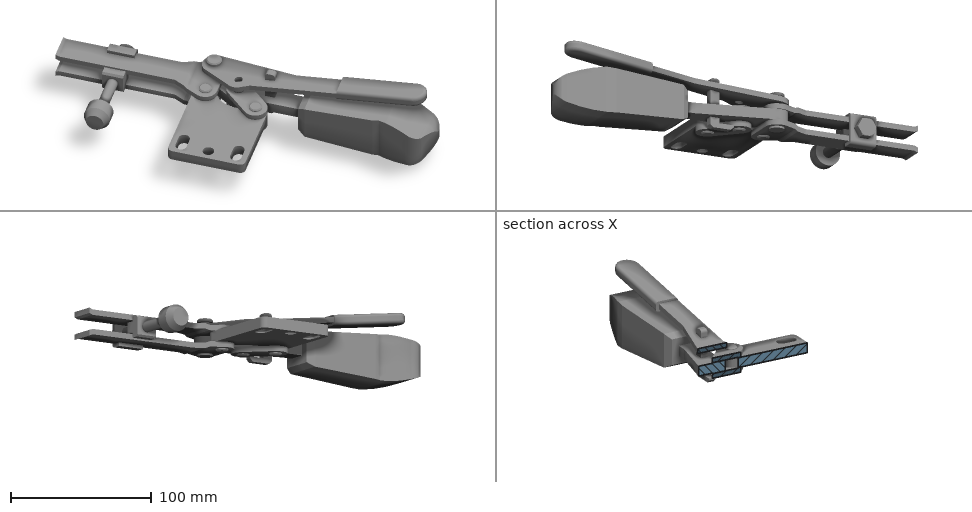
import cadquery as cq
import math


PLATE = 8.0
SHEET = 4.0
BOSS_RADIUS = 8.7
PIVOT_DIAMETER = 8.0
RIVET_HEAD_DIAMETER = 9.3
RIVET_HEAD_HEIGHT = 1.5
RIVET_HEAD_CHAMFER = 0.8
TALL = 169.3

INNER_Z = PLATE / 2
OUTER_Z = INNER_Z + SHEET

BASE_LEFT = -38.0
BASE_RIGHT = 19.2
BASE_CORNER_RADIUS = 4.0
NOTCH_RADIUS = 15.2
SLOT_WIDTH = 8.2
SLOT_LENGTH = 15.8
SLOT_SPACING = 40.5
HOLE_EDGE = 3.5

ARM_PIVOT = (BASE_LEFT + BOSS_RADIUS, 66.0)
LINK_PIVOT = (BASE_RIGHT - BOSS_RADIUS, 57.3)
HANDLE_PIVOT = (ARM_PIVOT[0], 88.0)
ELBOW_PIVOT = (-6.8, 73.0)

ARM_TIP_X = -141.0
ARM_LOWER_Y = 67.7
ARM_UPPER_Y = 87.2
ARM_FLARE_X = -52.5
ARM_BEND_START_X = -45.0
ARM_BEND_END_X = -42.0
ARM_SPREAD = 1.0
LIP_LENGTH = 2.5
LIP_RISE = 1.0

BAR_LOWER_Y = 68.5
BAR_UPPER_Y = 82.5
BAR_BOSS_RADIUS = 8.0
BAR_END_X = 90.3
TAPER_END_X = 33.0
HEEL_X = 3.0
HOOK_LEFT_X = 12.0
HOOK_RIGHT_X = 19.5
HOOK_FOOT_X = 0.8
HOOK_LOWER_Y = 75.3
HOOK_UPPER_Y = 80.5
HOOK_TOP_Z = 25.0
HOOK_BOTTOM_Z = -11.5
HOOK_CORNER = 2.3
GRIP_START_X = 40.5
GRIP_END_X = 141.0

LEVER_TILT = 7.9
LEVER_GAP = 0.3
LEVER_LOWER_Y = 67.7
LEVER_UPPER_Y = 83.2
LEVER_HOLE_DIAMETER = 6.0
PIN_HEAD_DIAMETER = 11.3
PIN_TOP_Z = 17.5
PIN_TOP_HEAD_HEIGHT = 2.5
SLEEVE_START_X = 67.5
SLEEVE_END_X = 131.8
SLEEVE_LOWER_Y = 67.5
SLEEVE_UPPER_Y = 85.8
SLEEVE_THICKNESS = 7.5
SLEEVE_EDGE_RADIUS = 2.3
TONGUE_WIDTH = 13.0
TONGUE_END_X = 121.3

SPINDLE_X = -96.8
ROD_DIAMETER = 8.0
CAP_DIAMETER = 19.2
CAP_TIP_DIAMETER = 13.0
CAP_TIP_Y = 17.2
CAP_SHOULDER_Y = 22.3
CAP_BACK_Y = 32.0
CHANNEL_LENGTH = 20.3
CHANNEL_WEB = 2.8
CHANNEL_LEG = 2.5
CHANNEL_BEND_RADIUS = 2.5
CHANNEL_LEG_END_Y = 81.3
HEX_CORNER_DIAMETER = 15.0
HEX_TOP_Y = 96.8
HEX_CHAMFER = 0.8
BLOCK_WIDTH = 15.8
BLOCK_HEIGHT = 15.2
BLOCK_FRONT_Y = 61.2
BLOCK_CHAMFER = 1.5
BLOCK_NECK_HEIGHT = 8.5
BLOCK_NECK_END_Y = 74.0


def box_between(x, y, z):
    """Box spanning the given (low, high) ranges."""
    size = [high - low for low, high in (x, y, z)]
    return cq.Workplane("XY").box(*size, centered=False).translate((x[0], y[0], z[0]))


def cylinder_z(point, diameter, bottom, top):
    return cq.Workplane("XY", origin=(*point, bottom)).circle(diameter / 2).extrude(top - bottom)


def tangent_point(point, center, radius, side):
    """Point where the tangent from `point` touches a circle; side is +1 for above, -1 for below."""
    dx = point[0] - center[0]
    dy = point[1] - center[1]
    turn = side * math.copysign(math.acos(radius / math.hypot(dx, dy)), dx)
    angle = math.atan2(dy, dx) + turn
    return (center[0] + radius * math.cos(angle), center[1] + radius * math.sin(angle))


def link_bar(start, end, radius, bottom, top):
    """Flat bar with rounded ends centred on two points."""
    dx = end[0] - start[0]
    dy = end[1] - start[1]
    middle = ((start[0] + end[0]) / 2, (start[1] + end[1]) / 2, bottom)
    return (
        cq.Workplane("XY", origin=middle)
        .slot2D(math.hypot(dx, dy) + 2 * radius, 2 * radius, math.degrees(math.atan2(dy, dx)))
        .extrude(top - bottom)
    )


def rivet(point):
    """Rivet with a chamfered head on the outer face of each sheet."""
    head_end = OUTER_Z + RIVET_HEAD_HEIGHT
    shank = cylinder_z(point, PIVOT_DIAMETER, -OUTER_Z, OUTER_Z)
    upper = cylinder_z(point, RIVET_HEAD_DIAMETER, OUTER_Z, head_end).faces(">Z").chamfer(RIVET_HEAD_CHAMFER)
    return shank.union(upper).union(upper.mirror("XY"))


def lever_blank(radius, lower_y, upper_y, end_x, bottom, top):
    """Lever that joins the handle and elbow pivots and runs on as a straight bar."""
    heel = (HEEL_X, lower_y)
    shoulder = (TAPER_END_X, upper_y)
    web = (
        cq.Workplane("XY", origin=(0, 0, bottom))
        .polyline([
            HANDLE_PIVOT,
            tangent_point(shoulder, HANDLE_PIVOT, radius, 1),
            shoulder,
            (end_x, upper_y),
            (end_x, lower_y),
            heel,
            tangent_point(heel, ELBOW_PIVOT, radius, -1),
            ELBOW_PIVOT,
        ])
        .close()
        .extrude(top - bottom)
    )
    return link_bar(HANDLE_PIVOT, ELBOW_PIVOT, radius, bottom, top).union(web)


def make_base():
    thickness = (-PLATE / 2, PLATE / 2)
    base = box_between((BASE_LEFT, BASE_RIGHT), (0, LINK_PIVOT[1]), thickness)
    base = base.edges("|Z and <Y").fillet(BASE_CORNER_RADIUS)
    base = base.union(box_between((BASE_LEFT, ELBOW_PIVOT[0]), (LINK_PIVOT[1], ARM_PIVOT[1]), thickness))
    for pivot in (ARM_PIVOT, LINK_PIVOT):
        base = base.union(cylinder_z(pivot, 2 * BOSS_RADIUS, *thickness))

    base = base.cut(cylinder_z(ELBOW_PIVOT, 2 * NOTCH_RADIUS, *thickness))
    for pivot in (ARM_PIVOT, LINK_PIVOT):
        base = base.cut(cylinder_z(pivot, PIVOT_DIAMETER, *thickness))

    center_x = (BASE_LEFT + BASE_RIGHT) / 2
    slots = (
        cq.Workplane("XY", origin=(center_x, HOLE_EDGE + SLOT_LENGTH / 2, -PLATE / 2))
        .pushPoints([(-SLOT_SPACING / 2, 0), (SLOT_SPACING / 2, 0)])
        .slot2D(SLOT_LENGTH, SLOT_WIDTH, 90)
        .extrude(PLATE)
    )
    hole = cylinder_z((center_x, HOLE_EDGE + SLOT_WIDTH / 2), SLOT_WIDTH, *thickness)
    return base.cut(slots).cut(hole)


def make_arm_cheek():
    """Upper cheek of the arm: a stepped sheet trimmed to the arm outline."""
    inner_edge = [
        (ARM_TIP_X, INNER_Z + ARM_SPREAD + LIP_RISE),
        (ARM_TIP_X + LIP_LENGTH, INNER_Z + ARM_SPREAD),
        (ARM_BEND_START_X, INNER_Z + ARM_SPREAD),
        (ARM_BEND_END_X, INNER_Z),
        (ARM_PIVOT[0] + BOSS_RADIUS, INNER_Z),
    ]
    outer_edge = [(x, z + SHEET) for x, z in reversed(inner_edge)]
    sheet = cq.Workplane("XZ").polyline(inner_edge + outer_edge).close().extrude(-TALL)

    lower_flare = (ARM_FLARE_X, ARM_LOWER_Y)
    upper_flare = (ARM_FLARE_X, ARM_UPPER_Y)
    strip = (
        cq.Workplane("XY")
        .polyline([
            (ARM_TIP_X, ARM_LOWER_Y),
            lower_flare,
            tangent_point(lower_flare, ARM_PIVOT, BOSS_RADIUS, -1),
            ARM_PIVOT,
            HANDLE_PIVOT,
            tangent_point(upper_flare, HANDLE_PIVOT, BOSS_RADIUS, 1),
            upper_flare,
            (ARM_TIP_X, ARM_UPPER_Y),
        ])
        .close()
        .extrude(TALL)
    )
    outline = strip.union(link_bar(ARM_PIVOT, HANDLE_PIVOT, BOSS_RADIUS, 0, TALL))
    return sheet.intersect(outline)


def make_arm():
    """Two cheeks joined by the rivet on which the arm turns in the base plate."""
    cheek = make_arm_cheek()
    arm = cheek.union(cheek.mirror("XY")).union(rivet(ARM_PIVOT))
    return arm.cut(cylinder_z(HANDLE_PIVOT, PIVOT_DIAMETER, -TALL, TALL))


def make_links():
    """Two link plates joined by the rivets at both ends."""
    plate = link_bar(ELBOW_PIVOT, LINK_PIVOT, BOSS_RADIUS, INNER_Z, OUTER_Z)
    links = plate.union(plate.mirror("XY"))
    for pivot in (ELBOW_PIVOT, LINK_PIVOT):
        links = links.union(rivet(pivot))
    return links


def make_hook():
    """Upright tab of the handle bar with a foot below the bar."""
    width = (HOOK_LOWER_Y, HOOK_UPPER_Y)
    post = box_between((HOOK_LEFT_X, HOOK_RIGHT_X), width, (HOOK_BOTTOM_Z, HOOK_TOP_Z))
    post = post.edges("|Y and >Z").fillet(HOOK_CORNER)
    foot = box_between((HOOK_FOOT_X, HOOK_RIGHT_X), width, (HOOK_BOTTOM_Z, -OUTER_Z))
    return post.union(foot).edges("|Y and <Z").chamfer(HOOK_CORNER)


def make_handle_bar():
    bar = lever_blank(BAR_BOSS_RADIUS, BAR_LOWER_Y, BAR_UPPER_Y, BAR_END_X, -PLATE / 2, PLATE / 2)
    for pivot in (HANDLE_PIVOT, ELBOW_PIVOT):
        bar = bar.cut(cylinder_z(pivot, PIVOT_DIAMETER, -PLATE, PLATE))
    return bar.union(make_hook())


def mirrored(point):
    return (point[0], -point[1])


def make_grip(handle_bar):
    """Grip: its plan outline trimmed by its side profile, with a pocket for the handle bar."""
    plan = (
        cq.Workplane("XY", origin=(0, 0, -TALL / 2))
        .moveTo(GRIP_START_X, 88.0)
        .lineTo(45.7, 91.5)
        .lineTo(100.5, 94.5)
        .lineTo(108.4, 93.7)
        .lineTo(134.5, 84.7)
        .lineTo(138.0, 83.0)
        .threePointArc((GRIP_END_X, 76.2), (140.5, 73.0))
        .lineTo(134.0, 57.5)
        .threePointArc((129.2, 53.0), (122.7, 53.5))
        .lineTo(101.3, 59.8)
        .lineTo(96.8, 59.0)
        .lineTo(46.3, 59.8)
        .lineTo(GRIP_START_X, 62.6)
        .close()
        .extrude(TALL)
    )
    face = (GRIP_START_X, 10.0)
    shoulder = (46.0, 13.0)
    ridge = (106.7, 17.0)
    swell = (122.0, 14.7)
    cheek = (133.5, 11.0)
    nose = (141.6, 0)
    side = (
        cq.Workplane("XZ")
        .polyline([mirrored(ridge), mirrored(shoulder), mirrored(face), face, shoulder, ridge])
        .threePointArc(swell, cheek)
        .threePointArc(nose, mirrored(cheek))
        .threePointArc(mirrored(swell), mirrored(ridge))
        .close()
        .extrude(-TALL)
    )
    return plan.intersect(side).cut(handle_bar)


def tilted_slab(start_x, end_x, thickness):
    """Slab along the tilted centre plane of the release lever, whose lowest edge clears the arm."""
    tilt = math.radians(LEVER_TILT)
    half_height = thickness / 2 / math.cos(tilt)
    pivot_end_x = HANDLE_PIVOT[0] - BOSS_RADIUS
    pivot_end_z = OUTER_Z + LEVER_GAP + SHEET / 2 / math.cos(tilt)
    start_z = pivot_end_z + (start_x - pivot_end_x) * math.tan(tilt)
    end_z = pivot_end_z + (end_x - pivot_end_x) * math.tan(tilt)
    return (
        cq.Workplane("XZ")
        .polyline([
            (start_x, start_z - half_height),
            (end_x, end_z - half_height),
            (end_x, end_z + half_height),
            (start_x, start_z + half_height),
        ])
        .close()
        .extrude(-TALL)
    )


def make_pivot_pin():
    """Headed pin of the release lever, on which the arm and the handle bar turn."""
    head_end = OUTER_Z + RIVET_HEAD_HEIGHT
    shank = cylinder_z(HANDLE_PIVOT, PIVOT_DIAMETER, -head_end, PIN_TOP_Z)
    lower_head = cylinder_z(HANDLE_PIVOT, PIN_HEAD_DIAMETER, -head_end, -OUTER_Z)
    upper_head = cylinder_z(HANDLE_PIVOT, PIN_HEAD_DIAMETER, PIN_TOP_Z - PIN_TOP_HEAD_HEIGHT, PIN_TOP_Z)
    upper_head = upper_head.faces(">Z").chamfer(RIVET_HEAD_CHAMFER)
    return shank.union(lower_head).union(upper_head)


def make_release_lever():
    middle_y = (SLEEVE_LOWER_Y + SLEEVE_UPPER_Y) / 2
    tongue_y = (middle_y - TONGUE_WIDTH / 2, middle_y + TONGUE_WIDTH / 2)
    outline = lever_blank(BOSS_RADIUS, LEVER_LOWER_Y, LEVER_UPPER_Y, SLEEVE_START_X, 0, TALL)
    outline = outline.union(box_between((SLEEVE_START_X, TONGUE_END_X), tongue_y, (0, TALL)))
    slab = tilted_slab(HANDLE_PIVOT[0] - BOSS_RADIUS, TONGUE_END_X, SHEET)
    lever = slab.intersect(outline)
    lever = lever.cut(cylinder_z(ELBOW_PIVOT, LEVER_HOLE_DIAMETER, 0, TALL))

    slot = box_between((HOOK_LEFT_X, HOOK_RIGHT_X), (HOOK_LOWER_Y, HOOK_UPPER_Y), (0, TALL))
    lever = lever.cut(slot)
    return lever.union(make_pivot_pin())


def make_sleeve(release_lever):
    """Round-ended sleeve pushed over the tongue of the release lever."""
    end_radius = (SLEEVE_UPPER_Y - SLEEVE_LOWER_Y) / 2
    end_center_x = SLEEVE_END_X - end_radius
    outline = (
        cq.Workplane("XY")
        .moveTo(SLEEVE_START_X, SLEEVE_LOWER_Y)
        .lineTo(end_center_x, SLEEVE_LOWER_Y)
        .threePointArc((SLEEVE_END_X, SLEEVE_LOWER_Y + end_radius), (end_center_x, SLEEVE_UPPER_Y))
        .lineTo(SLEEVE_START_X, SLEEVE_UPPER_Y)
        .close()
        .extrude(TALL)
    )
    sleeve = tilted_slab(SLEEVE_START_X, SLEEVE_END_X, SLEEVE_THICKNESS).intersect(outline)
    sleeve = sleeve.faces(">Z").edges("not <X").fillet(SLEEVE_EDGE_RADIUS)
    return sleeve.cut(release_lever)


def make_spindle():
    """Spindle with its pressure cap, hexagon head, channel and guide block."""
    center = (SPINDLE_X, 0, 0)
    cheek_outer = OUTER_Z + ARM_SPREAD
    channel_back_y = ARM_UPPER_Y + CHANNEL_WEB

    turned = (
        cq.Workplane("XY", origin=center)
        .polyline([
            (0, CAP_TIP_Y),
            (CAP_TIP_DIAMETER / 2, CAP_TIP_Y),
            (CAP_DIAMETER / 2, CAP_SHOULDER_Y),
            (CAP_DIAMETER / 2, CAP_BACK_Y),
            (ROD_DIAMETER / 2, CAP_BACK_Y),
            (ROD_DIAMETER / 2, channel_back_y),
            (0, channel_back_y),
        ])
        .close()
        .revolve(360, (0, 0), (0, 1))
    )

    head_plane = cq.Workplane("XZ", origin=(SPINDLE_X, channel_back_y, 0))
    head_height = HEX_TOP_Y - channel_back_y
    round_blank = head_plane.circle(HEX_CORNER_DIAMETER / 2).extrude(-head_height)
    round_blank = round_blank.faces(">Y").chamfer(HEX_CHAMFER)
    head = head_plane.polygon(6, HEX_CORNER_DIAMETER).extrude(-head_height).intersect(round_blank)

    length = (SPINDLE_X - CHANNEL_LENGTH / 2, SPINDLE_X + CHANNEL_LENGTH / 2)
    leg_outer = cheek_outer + CHANNEL_LEG
    channel = box_between(length, (ARM_UPPER_Y, channel_back_y), (-leg_outer, leg_outer))
    channel = channel.edges("|X and >Y").fillet(CHANNEL_BEND_RADIUS)
    leg = box_between(length, (CHANNEL_LEG_END_Y, ARM_UPPER_Y), (cheek_outer, leg_outer))
    channel = channel.union(leg).union(leg.mirror("XY"))

    width = (SPINDLE_X - BLOCK_WIDTH / 2, SPINDLE_X + BLOCK_WIDTH / 2)
    block = box_between(width, (BLOCK_FRONT_Y, ARM_LOWER_Y), (-BLOCK_HEIGHT / 2, BLOCK_HEIGHT / 2))
    block = block.edges("|X and <Y").chamfer(BLOCK_CHAMFER)
    neck_z = (-BLOCK_NECK_HEIGHT / 2, BLOCK_NECK_HEIGHT / 2)
    neck = box_between(width, (ARM_LOWER_Y, BLOCK_NECK_END_Y), neck_z)

    return turned.union(head).union(channel).union(block).union(neck)


base = make_base()
arm = make_arm()
links = make_links()
handle_bar = make_handle_bar()
grip = make_grip(handle_bar)
release_lever = make_release_lever()
sleeve = make_sleeve(release_lever)
spindle = make_spindle()

bodies = [base, arm, links, handle_bar, grip, release_lever, sleeve, spindle]
result = cq.Compound.makeCompound([body.solids().val() for body in bodies])